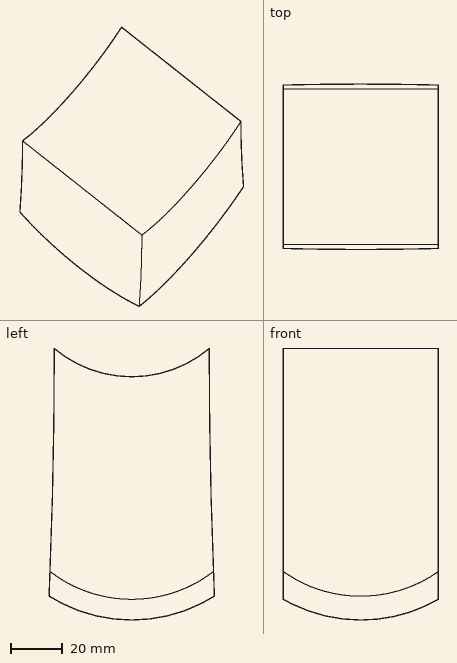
import cadquery as cq
import math

width = 60.0
height = 105.1
dome_radius = 60.0
saddle_depth = 10.9
flank_radius = 2291.8

half_width = width / 2


def flank_y(z):
    """Distance of a flank from the mid-plane; the flank is vertical at the top edge."""
    drop = height - z
    return half_width + flank_radius - math.sqrt(flank_radius**2 - drop**2)


def saddle_and_flank_body():
    """YZ profile with a concave top and flared flanks, extruded along X."""
    profile = (
        cq.Workplane("YZ")
        .moveTo(-half_width, height)
        .threePointArc((0, height - saddle_depth), (half_width, height))
        .threePointArc((flank_y(height / 2), height / 2), (flank_y(0), 0))
        .lineTo(-flank_y(0), 0)
        .threePointArc((-flank_y(height / 2), height / 2), (-half_width, height))
        .close()
    )
    return profile.extrude(half_width, both=True)


def dome_envelope():
    """Round-ended column whose lower half sphere shapes the underside."""
    sphere = cq.Workplane("XY").sphere(dome_radius)
    column = cq.Workplane("XY").circle(dome_radius).extrude(height)
    return sphere.union(column).translate((0, 0, dome_radius))


result = saddle_and_flank_body().intersect(dome_envelope())